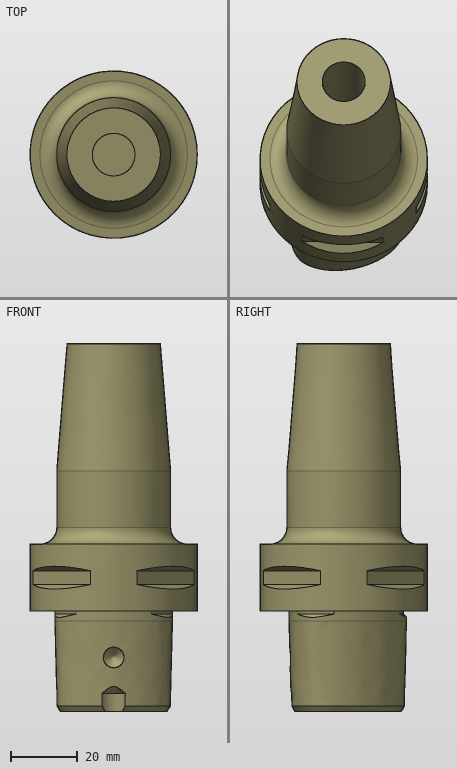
import cadquery as cq
import math

total_height = 110.0
flange_bottom = 30.0
flange_height = 20.0
flange_top = flange_bottom + flange_height

flange_radius = 25.02
neck_radius = 17.0
nose_radius = 14.0
fillet_radius = 5.0
taper_start = 71.9
bore_radius = 6.4
bore_depth = 49.5

shank_mean_radius = 17.6
shank_lobe = 1.2
shank_end_mean_radius = 16.9
band_height = 3.0
band_bottom = flange_bottom - band_height
chamfer_height = 1.6
chamfer_width = 1.0
lobe_count = 3
lobe_direction = 90.0
points_per_lobe = 16

undercut_radius = 17.8
undercut_straight = 0.9
undercut_slope = 1.1

slot_count = 4
slot_floor_distance = 21.9
slot_floor_width = 4.1
slot_rim_width = 6.8
slot_center = flange_bottom + flange_height / 2
slot_length = 2 * flange_radius

hole_radius = 3.1
hole_height = 16.2
hole_depth = 4.4
notch_radius = 4.2
notch_outset = 2.2
notch_height = 5.4


def lobed_wire(mean_radius, height):
    """Closed three-lobed outline with one lobe pointing along +Y."""
    count = lobe_count * points_per_lobe
    points = []
    for i in range(count):
        angle = 2 * math.pi * i / count
        lobe_angle = lobe_count * (angle - math.radians(lobe_direction))
        reach = mean_radius + shank_lobe * math.cos(lobe_angle)
        slope = -lobe_count * shank_lobe * math.sin(lobe_angle)
        x = reach * math.cos(angle) - slope * math.sin(angle)
        y = reach * math.sin(angle) + slope * math.cos(angle)
        points.append(cq.Vector(x, y, height))
    return cq.Wire.assembleEdges([cq.Edge.makeSpline(points, periodic=True)])


def lobed_section(bottom_radius, bottom, top_radius, top):
    """Straight or tapered length of the lobed shank."""
    wires = [lobed_wire(bottom_radius, bottom), lobed_wire(top_radius, top)]
    return cq.Workplane(cq.Solid.makeLoft(wires, True))


def upper_body():
    """Flange, filleted neck and tapered nose."""
    fillet_mid = fillet_radius * (1 - math.sqrt(0.5))
    return (
        cq.Workplane("XZ")
        .moveTo(0, flange_bottom)
        .lineTo(flange_radius, flange_bottom)
        .lineTo(flange_radius, flange_top)
        .lineTo(neck_radius + fillet_radius, flange_top)
        .threePointArc(
            (neck_radius + fillet_mid, flange_top + fillet_mid),
            (neck_radius, flange_top + fillet_radius),
        )
        .lineTo(neck_radius, taper_start)
        .lineTo(nose_radius, total_height)
        .lineTo(0, total_height)
        .close()
        .revolve(360, (0, 0, 0), (0, 1, 0))
    )


def undercut():
    """Ring that trims the lobes below the flange and runs out on a slope."""
    straight_bottom = flange_bottom - undercut_straight
    outer_radius = undercut_radius + undercut_slope
    clear_radius = flange_radius
    return (
        cq.Workplane("XZ")
        .moveTo(undercut_radius, flange_bottom)
        .lineTo(undercut_radius, straight_bottom)
        .lineTo(outer_radius, straight_bottom - undercut_slope)
        .lineTo(clear_radius, straight_bottom - undercut_slope)
        .lineTo(clear_radius, flange_bottom)
        .close()
        .revolve(360, (0, 0, 0), (0, 1, 0))
    )


def shank():
    """Lobed shank with end chamfer, straight upper band and undercut."""
    end = lobed_section(
        shank_end_mean_radius - chamfer_width, 0, shank_end_mean_radius, chamfer_height
    )
    taper = lobed_section(shank_end_mean_radius, chamfer_height, shank_mean_radius, band_bottom)
    band = lobed_section(shank_mean_radius, band_bottom, shank_mean_radius, flange_bottom)
    return end.union(taper).union(band).cut(undercut())


def gripper_slot(angle):
    """Flat-floored slot whose sides flare outward to the flange rim."""
    floor = slot_floor_width / 2
    rim = slot_rim_width / 2
    slot = (
        cq.Workplane("XZ")
        .polyline([
            (slot_floor_distance, slot_center - floor),
            (flange_radius, slot_center - rim),
            (flange_radius, slot_center + rim),
            (slot_floor_distance, slot_center + floor),
        ])
        .close()
        .extrude(slot_length / 2, both=True)
    )
    return slot.rotate((0, 0, 0), (0, 0, 1), angle)


def side_hole():
    """Radial blind hole with a 90 degree conical bottom."""
    start = cq.Vector(0, -flange_radius, hole_height)
    flat_distance = shank_mean_radius - shank_lobe
    inward = cq.Vector(0, 1, 0)
    length = flange_radius - flat_distance + hole_depth
    drill = cq.Solid.makeCylinder(hole_radius, length, start, inward)
    tip = cq.Solid.makeCone(hole_radius, 0, hole_radius, start + inward * length, inward)
    return cq.Workplane(drill).union(cq.Workplane(tip))


def end_notch():
    """Upright round notch with a 45 degree conical roof."""
    axis_y = -(shank_end_mean_radius - shank_lobe + notch_outset)
    base = cq.Vector(0, axis_y, 0)
    roof_base = cq.Vector(0, axis_y, notch_height)
    post = cq.Solid.makeCylinder(notch_radius, notch_height, base)
    roof = cq.Solid.makeCone(notch_radius, 0, notch_radius, roof_base)
    return cq.Workplane(post).union(cq.Workplane(roof))


result = upper_body().union(shank())

for i in range(slot_count):
    result = result.cut(gripper_slot(360 / slot_count * (i + 0.5)))

result = result.cut(side_hole()).cut(end_notch())

bore = cq.Workplane("XY", origin=(0, 0, total_height)).circle(bore_radius).extrude(-bore_depth)
result = result.cut(bore)